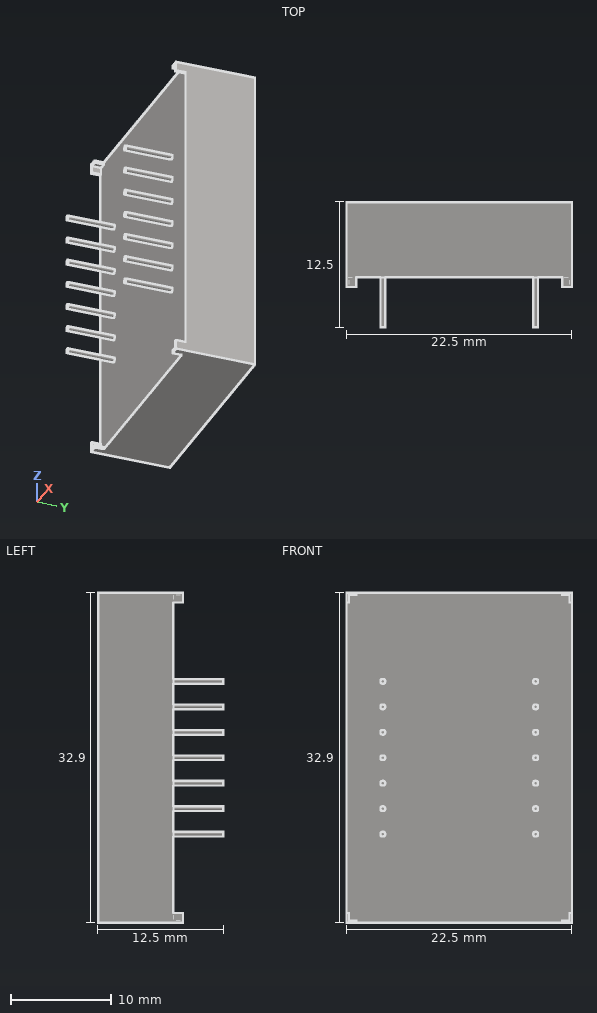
import cadquery as cq

width = 22.5
length = 32.9
total_depth = 12.5

body_depth = 7.5
foot_height = 1.0
foot_leg = 1.0
foot_wall = 0.25

pin_diameter = 0.5
pin_row_count = 2
pin_row_spacing = 15.23
pins_per_row = 7
pin_pitch = pin_row_spacing / (pins_per_row - 1)

underside_y = total_depth - body_depth


def make_body():
    """Plain rectangular housing behind the underside."""
    return cq.Workplane("XY").box(width, body_depth, length).translate(
        (0, underside_y + body_depth / 2, 0)
    )


def make_foot(side_x, side_z):
    """L-shaped foot standing on the underside at one corner."""
    corner_x = side_x * width / 2
    corner_z = side_z * length / 2
    corner_to_inside = [
        (0, 0),
        (foot_leg, 0),
        (foot_leg, foot_wall),
        (foot_wall, foot_wall),
        (foot_wall, foot_leg),
        (0, foot_leg),
    ]
    outline = [(corner_x - side_x * x, corner_z - side_z * z) for x, z in corner_to_inside]
    return (
        cq.Workplane("XZ", origin=(0, underside_y, 0))
        .polyline(outline)
        .close()
        .extrude(foot_height)
    )


def make_pins():
    """Both rows of pins, reaching from the underside to Y = 0."""
    return (
        cq.Workplane("XZ", origin=(0, underside_y, 0))
        .rarray(pin_row_spacing, pin_pitch, pin_row_count, pins_per_row)
        .circle(pin_diameter / 2)
        .extrude(underside_y)
    )


result = make_body().union(make_pins())
for side_x in (-1, 1):
    for side_z in (-1, 1):
        result = result.union(make_foot(side_x, side_z))